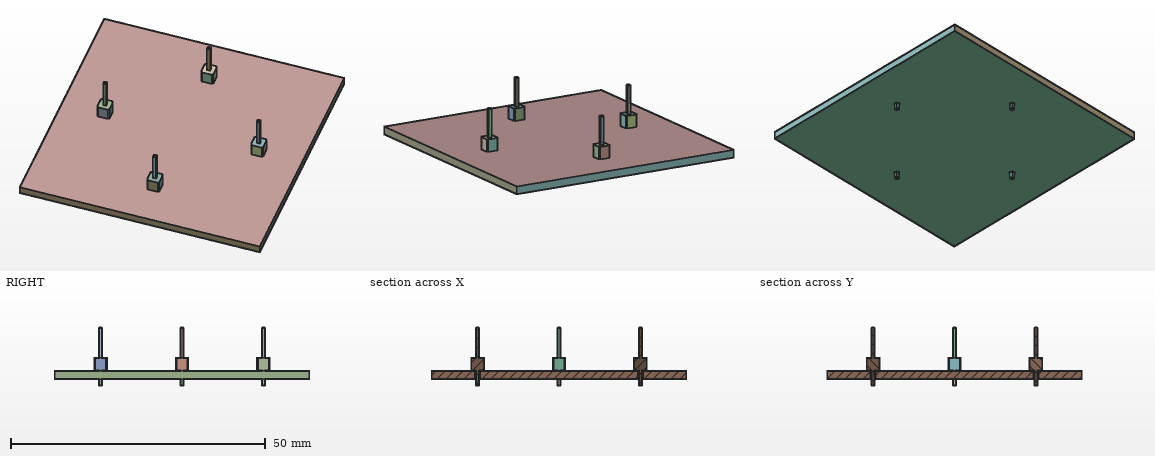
import cadquery as cq
import math

board_side = 50.0
board_thickness = 1.6
hole_diameter = 1.0

header_count = 4
header_circle_radius = 16.0
header_pitch = 2.54
header_clearance = 0.05
block_chamfer = header_pitch / 10
pin_width = 0.64
pin_length_above_block = 6.0
pin_length_below_block = 3.0
pin_tip_chamfer = pin_width / 4


def header_positions():
    """Centres of the headers on the board."""
    step = 2 * math.pi / header_count
    return [
        (header_circle_radius * math.cos(i * step), header_circle_radius * math.sin(i * step))
        for i in range(header_count)
    ]


def make_board(positions):
    """Square board with a round clearance hole for each pin."""
    plate = cq.Workplane("XY").rect(board_side, board_side).extrude(-board_thickness)
    holes = cq.Workplane("XY").pushPoints(positions).circle(hole_diameter / 2).extrude(-board_thickness)
    return plate.cut(holes)


def make_header(position):
    """Block just above the board, in one piece with the square pin through it."""
    block = (
        cq.Workplane("XY")
        .rect(header_pitch, header_pitch)
        .extrude(header_pitch)
        .edges("|Z")
        .chamfer(block_chamfer)
    )
    pin_length = pin_length_below_block + header_pitch + pin_length_above_block
    pin = (
        cq.Workplane("XY", origin=(0, 0, -pin_length_below_block))
        .rect(pin_width, pin_width)
        .extrude(pin_length)
        .faces("<Z or >Z")
        .edges()
        .chamfer(pin_tip_chamfer)
    )
    x, y = position
    return block.union(pin).translate((x, y, header_clearance))


pin_positions = header_positions()
board = make_board(pin_positions)
headers = [make_header(position) for position in pin_positions]

result = cq.Compound.makeCompound([board.val(), *[header.val() for header in headers]])